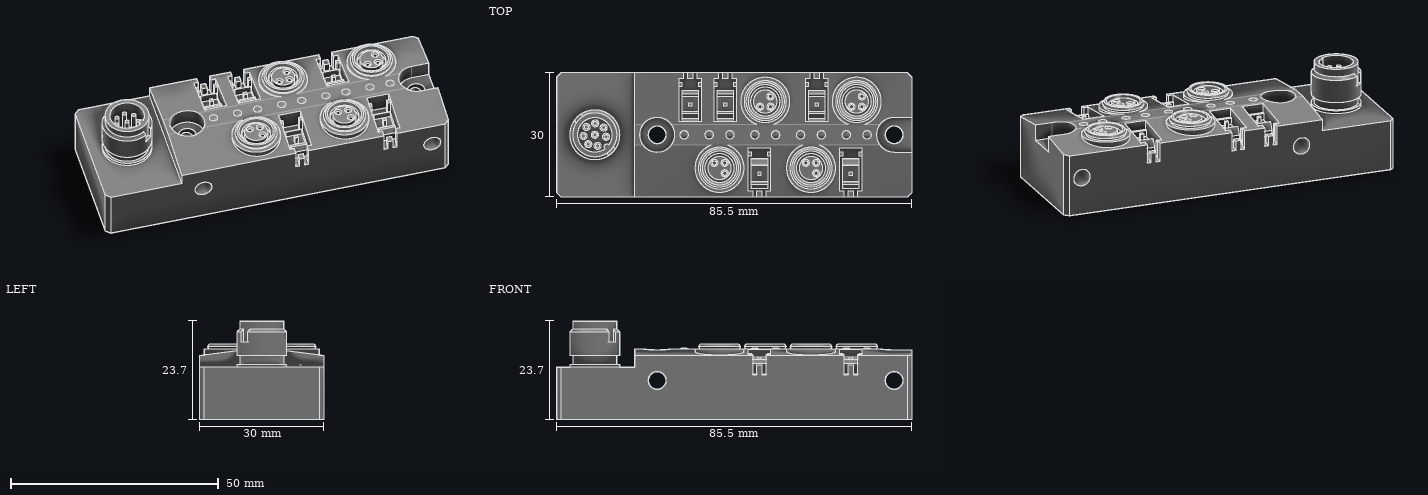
import math

import cadquery as cq

LENGTH, WIDTH = 85.5, 30.0
CORNER_CHAMFER = 1.1
STEP_X = 18.8
DECK_Z = 12.6
SIDE_Z = 15.4
RIDGE_Z = 17.0
RIDGE_WIDTH = 5.0
ROOF_SLOPE = (RIDGE_Z - SIDE_Z) / ((WIDTH - RIDGE_WIDTH) / 2)
ROOF_ANGLE = math.degrees(math.atan(ROOF_SLOPE))

MOUNT_XS = (24.2, 81.2)
MOUNT_DIAMETER = 4.2
MOUNT_SEAT_DIAMETER = 8.4
MOUNT_SEAT_Z = 12.8
SIDE_HOLE_Z = 9.4

PLUG_X = 9.2
PLUG_TOP_Z = 23.7
PLUG_RADIUS = 6.0
PLUG_NECK_RADIUS = 5.3
PLUG_FLANGE_TOP_Z = 13.3
PLUG_COLLAR_Z = (15.4, 21.1)
PLUG_BEVEL_TOP_Z = 21.8
PLUG_BORE_RADIUS = 4.15
PLUG_BORE_FLOOR_Z = 15.4
NOTCH_WIDTH = 2.2
NOTCH_FLOOR_Z = 18.7
NOTCH_ANGLES = (-45, 135)
KEY_ANGLE = -45
KEY_RADIUS = 0.7
PIN_RADIUS = 0.5
PIN_COLLAR_RADIUS = 0.85
PIN_COLLAR_HEIGHT = 0.5
PIN_TOP_Z = 21.6
PIN_CIRCLE_RADIUS = 2.75
OUTER_PIN_COUNT = 7
PIN_FIRST_ANGLE = -10
PIN_ANGLE_STEP = 49

FIRST_SOCKET_X = 39.2
SOCKET_PITCH = 11.0
SOCKET_COUNT = 4
SOCKET_Y = 8.0
SOCKET_ROOT_Z = 14.4
SOCKET_BASE_RADIUS = 5.87
SOCKET_WAIST_RADIUS = 4.8
SOCKET_RIM_RADIUS = 5.05
SOCKET_TOP_RADIUS = 4.6
SOCKET_RIM_Z = 17.6
SOCKET_TOP_Z = 18.2
SOCKET_MOUTH_RADIUS = 4.1
SOCKET_THROAT_RADIUS = 3.5
SOCKET_THROAT_Z = 17.5
SOCKET_GROOVE_Z = 16.5
INSERT_RADIUS = 2.8
INSERT_TOP_Z = 17.9
CONTACT_OFFSET = 1.25
CONTACT_MOUTH_RADIUS = 0.85
CONTACT_RADIUS = 0.5
CONTACT_DEPTH = 2.0
CONTACT_TAPER = 0.35

LAMP_RADIUS = 1.0
LAMP_HEIGHT = 0.25
LAMP_PAIR_GAP = 5.0
SUPPLY_LAMP_X = 30.7

LABEL_OFFSET = 9.6
SUPPLY_LABEL_X = 32.15
POCKET_WIDTH = 5.4
POCKET_INNER_Y, POCKET_OUTER_Y = 3.2, 13.5
POCKET_LENGTH = POCKET_OUTER_Y - POCKET_INNER_Y
POCKET_MID_Y = (POCKET_OUTER_Y + POCKET_INNER_Y) / 2
POCKET_DEPTH = 4.7
CHANNEL_WIDTH = 3.2
TONGUE_WIDTH = 1.3
TONGUE_TOP_Z = 13.1
CLIP_WIDTH = 4.0
CLIP_PIVOT_DEPTH = 2.5
CLIP_ROOT_DEPTH = 5.2
CLIP_PROFILE = (
    (2.7, CLIP_ROOT_DEPTH),
    (2.7, 3.2),
    (3.87, 1.4),
    (4.2, 3.0),
    (8.08, 3.0),
    (8.08, 1.3),
    (8.6, 1.3),
    (9.68, 2.2),
    (9.68, CLIP_ROOT_DEPTH),
)
PEG_SIZE = 0.8
PEG_POSITION = 6.2
PEG_TOP_DEPTH = 1.05
RIB_WIDTH = 0.75
RIB_LENGTH = 0.95
RIB_POSITION = 1.4
RIB_TOP_DEPTH = 0.9


def cylinder(x, y, radius, z_bottom, z_top):
    """Upright cylinder between two heights."""
    return cq.Workplane("XY", origin=(x, y, z_bottom)).circle(radius).extrude(z_top - z_bottom)


def block(x_range, y_range, z_range):
    """Axis-aligned block given by its limits."""
    sizes = [abs(high - low) for low, high in (x_range, y_range, z_range)]
    corner = (min(x_range), min(y_range), min(z_range))
    return cq.Workplane("XY").box(*sizes, centered=False).translate(corner)


def centred(middle, size):
    """Limits of a span centred on a value."""
    return (middle - size / 2, middle + size / 2)


def turned(x, y, profile):
    """Solid of revolution from (radius, z) points about an upright axis."""
    return cq.Workplane("XZ").polyline(profile).close().revolve(360, (0, 0), (0, 1)).translate((x, y, 0))


def roof_z(y):
    """Height of the sloping roof at a distance from the centre line."""
    return RIDGE_Z - ROOF_SLOPE * (abs(y) - RIDGE_WIDTH / 2)


def housing():
    half_width = WIDTH / 2
    half_ridge = RIDGE_WIDTH / 2
    section = [
        (-half_width, 0),
        (half_width, 0),
        (half_width, SIDE_Z),
        (half_ridge, RIDGE_Z),
        (-half_ridge, RIDGE_Z),
        (-half_width, SIDE_Z),
    ]
    body = cq.Workplane("YZ").polyline(section).close().extrude(LENGTH)
    body = body.cut(block((0, STEP_X), (-half_width, half_width), (DECK_Z, RIDGE_Z)))
    footprint = cq.Workplane("XY").rect(LENGTH, WIDTH).extrude(RIDGE_Z)
    footprint = footprint.edges("|Z").chamfer(CORNER_CHAMFER).translate((LENGTH / 2, 0, 0))
    return body.intersect(footprint)


def mounting_cuts():
    """Upright seated holes crossed by plain holes through the sides."""
    cuts = cq.Workplane("XY")
    for x in MOUNT_XS:
        cuts = cuts.add(cylinder(x, 0, MOUNT_DIAMETER / 2, 0, RIDGE_Z))
        cuts = cuts.add(cylinder(x, 0, MOUNT_SEAT_DIAMETER / 2, MOUNT_SEAT_Z, RIDGE_Z))
        side_hole = cq.Workplane("XZ", origin=(x, 0, SIDE_HOLE_Z)).circle(MOUNT_DIAMETER / 2)
        cuts = cuts.add(side_hole.extrude(WIDTH / 2, both=True))
    open_end = block((MOUNT_XS[-1], LENGTH), centred(0, MOUNT_SEAT_DIAMETER), (MOUNT_SEAT_Z, RIDGE_Z))
    return cuts.add(open_end).combine()


def plug_pins():
    places = [(0, 0)]
    for index in range(OUTER_PIN_COUNT):
        angle = math.radians(PIN_FIRST_ANGLE + index * PIN_ANGLE_STEP)
        places.append((PIN_CIRCLE_RADIUS * math.cos(angle), PIN_CIRCLE_RADIUS * math.sin(angle)))
    floor = cq.Workplane("XY", origin=(PLUG_X, 0, PLUG_BORE_FLOOR_Z)).pushPoints(places)
    pins = floor.circle(PIN_RADIUS).extrude(PIN_TOP_Z - PLUG_BORE_FLOOR_Z)
    collars = floor.circle(PIN_COLLAR_RADIUS).extrude(PIN_COLLAR_HEIGHT)
    return pins.union(collars)


def main_connector():
    collar_bottom, collar_top = PLUG_COLLAR_Z
    shell = turned(PLUG_X, 0, (
        (0, DECK_Z),
        (PLUG_RADIUS, DECK_Z),
        (PLUG_RADIUS, PLUG_FLANGE_TOP_Z),
        (PLUG_NECK_RADIUS, PLUG_FLANGE_TOP_Z),
        (PLUG_NECK_RADIUS, collar_bottom),
        (PLUG_RADIUS, collar_bottom),
        (PLUG_RADIUS, collar_top),
        (PLUG_NECK_RADIUS, PLUG_BEVEL_TOP_Z),
        (PLUG_NECK_RADIUS, PLUG_TOP_Z),
        (0, PLUG_TOP_Z),
    ))
    ring = cylinder(PLUG_X, 0, PLUG_RADIUS, NOTCH_FLOOR_Z, PLUG_BEVEL_TOP_Z)
    ring = ring.cut(cylinder(PLUG_X, 0, PLUG_NECK_RADIUS, NOTCH_FLOOR_Z, PLUG_BEVEL_TOP_Z))
    for angle in NOTCH_ANGLES:
        sector = block((0, PLUG_RADIUS), centred(0, NOTCH_WIDTH), (NOTCH_FLOOR_Z, PLUG_BEVEL_TOP_Z))
        sector = sector.rotate((0, 0, 0), (0, 0, 1), angle).translate((PLUG_X, 0, 0))
        shell = shell.cut(sector.intersect(ring))
    bore = cylinder(PLUG_X, 0, PLUG_BORE_RADIUS, PLUG_BORE_FLOOR_Z, PLUG_TOP_Z)
    key_x = PLUG_X + PLUG_BORE_RADIUS * math.cos(math.radians(KEY_ANGLE))
    key_y = PLUG_BORE_RADIUS * math.sin(math.radians(KEY_ANGLE))
    bore = bore.cut(cylinder(key_x, key_y, KEY_RADIUS, PLUG_BORE_FLOOR_Z, PLUG_TOP_Z))
    return shell.cut(bore).union(plug_pins())


def socket_body(x, y):
    return turned(x, y, (
        (0, SOCKET_ROOT_Z),
        (SOCKET_BASE_RADIUS, SOCKET_ROOT_Z),
        (SOCKET_BASE_RADIUS, RIDGE_Z),
        (SOCKET_WAIST_RADIUS, RIDGE_Z),
        (SOCKET_RIM_RADIUS, SOCKET_RIM_Z),
        (SOCKET_TOP_RADIUS, SOCKET_TOP_Z),
        (0, SOCKET_TOP_Z),
    ))


def socket_cuts(x, y):
    """Tapered mouth and ring groove around the insert, with three contact holes."""
    cuts = turned(x, y, (
        (0, INSERT_TOP_Z),
        (INSERT_RADIUS, INSERT_TOP_Z),
        (INSERT_RADIUS, SOCKET_GROOVE_Z),
        (SOCKET_THROAT_RADIUS, SOCKET_GROOVE_Z),
        (SOCKET_THROAT_RADIUS, SOCKET_THROAT_Z),
        (SOCKET_MOUTH_RADIUS, SOCKET_TOP_Z),
        (0, SOCKET_TOP_Z),
    ))
    side = math.copysign(1, y)
    for x_sign, y_sign in ((1, 1), (1, -1), (-1, -side)):
        cuts = cuts.union(turned(x + x_sign * CONTACT_OFFSET, y + y_sign * CONTACT_OFFSET, (
            (0, INSERT_TOP_Z - CONTACT_DEPTH),
            (CONTACT_RADIUS, INSERT_TOP_Z - CONTACT_DEPTH),
            (CONTACT_RADIUS, INSERT_TOP_Z - CONTACT_TAPER),
            (CONTACT_MOUTH_RADIUS, INSERT_TOP_Z),
            (0, INSERT_TOP_Z),
        )))
    return cuts


def lamp(x):
    """Shallow domed lens on the ridge."""
    sphere_radius = (LAMP_RADIUS**2 + LAMP_HEIGHT**2) / (2 * LAMP_HEIGHT)
    sphere = cq.Workplane("XY").sphere(sphere_radius).rotate((0, 0, 0), (1, 0, 0), 90)
    sphere = sphere.translate((x, 0, RIDGE_Z + LAMP_HEIGHT - sphere_radius))
    return sphere.intersect(cylinder(x, 0, LAMP_RADIUS, RIDGE_Z - LAMP_HEIGHT, RIDGE_Z + LAMP_HEIGHT))


def sloped_cut(x, width, y_start, y_end):
    """Cutter whose floor follows the roof slope at the pocket depth."""
    section = [
        (y_start, roof_z(y_start) - POCKET_DEPTH),
        (y_end, roof_z(y_end) - POCKET_DEPTH),
        (y_end, RIDGE_Z),
        (y_start, RIDGE_Z),
    ]
    profile = cq.Workplane("YZ", origin=(x, 0, 0)).polyline(section).close()
    return profile.extrude(width / 2, both=True)


def pocket_cuts(x, side):
    """Label pocket with a channel out through the long side, split by a low tongue."""
    outer_y, edge_y = side * POCKET_OUTER_Y, side * WIDTH / 2
    pocket = sloped_cut(x, POCKET_WIDTH, side * POCKET_INNER_Y, outer_y)
    channel = sloped_cut(x, CHANNEL_WIDTH, outer_y, edge_y)
    tongue = block(centred(x, TONGUE_WIDTH), (outer_y, edge_y), (0, TONGUE_TOP_Z))
    return pocket.union(channel.cut(tongue))


def upright(x_range, y, length, top_depth):
    """Upright post rising from the pocket floor to a depth below the roof."""
    top = roof_z(y) - top_depth
    return block(x_range, centred(y, length), (roof_z(y) - CLIP_ROOT_DEPTH, top))


def label_clip(x, side):
    """Saddle tilted with the roof, with a locating peg and two guide ribs."""
    wall_offset = POCKET_LENGTH / 2
    middle_y = side * POCKET_MID_Y
    outline = [(wall_offset - distance, CLIP_PIVOT_DEPTH - depth) for distance, depth in CLIP_PROFILE]
    clip = cq.Workplane("YZ").polyline(outline).close().extrude(CLIP_WIDTH / 2, both=True)
    clip = clip.rotate((0, 0, 0), (1, 0, 0), -side * ROOF_ANGLE)
    clip = clip.translate((x, middle_y, roof_z(middle_y) - CLIP_PIVOT_DEPTH))
    wall_y = middle_y + wall_offset
    clip = clip.union(upright(centred(x, PEG_SIZE), wall_y - PEG_POSITION, PEG_SIZE, PEG_TOP_DEPTH))
    for rib_side in (-1, 1):
        pocket_wall_x = x + rib_side * POCKET_WIDTH / 2
        rib_x = (pocket_wall_x, pocket_wall_x - rib_side * RIB_WIDTH)
        clip = clip.union(upright(rib_x, wall_y - RIB_POSITION, RIB_LENGTH, RIB_TOP_DEPTH))
    return clip


sockets = []
labels = [(SUPPLY_LABEL_X, 1)]
lamp_xs = [SUPPLY_LAMP_X]
for index in range(SOCKET_COUNT):
    socket_x = FIRST_SOCKET_X + index * SOCKET_PITCH
    side = 1 if index % 2 else -1
    sockets.append((socket_x, side * SOCKET_Y))
    labels.append((socket_x - side * LABEL_OFFSET, side))
    lamp_xs += centred(socket_x, LAMP_PAIR_GAP)

result = housing()
for x, side in labels:
    result = result.cut(pocket_cuts(x, side)).union(label_clip(x, side))
for x, y in sockets:
    result = result.union(socket_body(x, y)).cut(socket_cuts(x, y))
for x in lamp_xs:
    result = result.union(lamp(x))
result = result.cut(mounting_cuts()).union(main_connector())